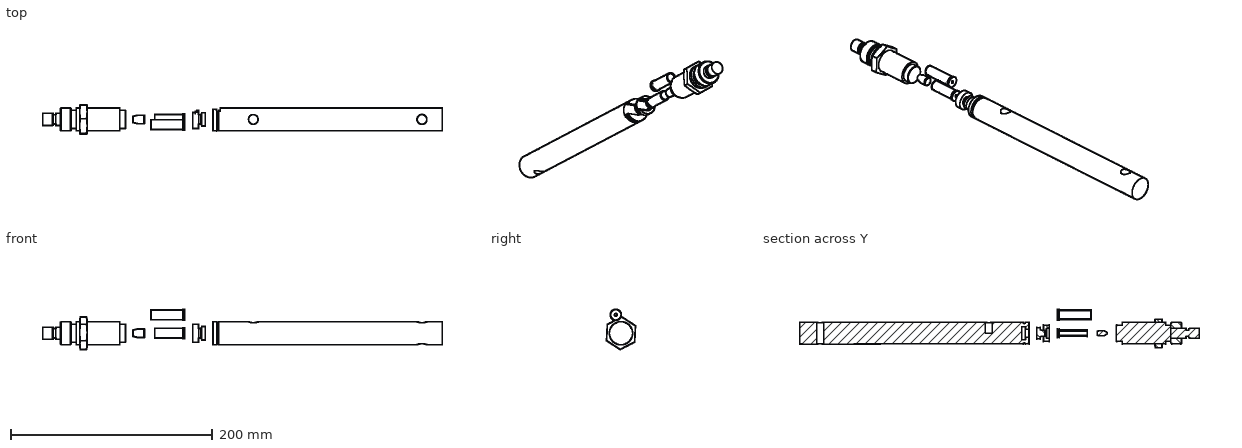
import cadquery as cq
import math


def turned(profile):
    """Solid of revolution about X from (x, radius) points; both ends close on the axis."""
    start, end = profile[0][0], profile[-1][0]
    points = [(start, 0), *profile, (end, 0)]
    return cq.Workplane("XZ").polyline(points).close().revolve(360, (0, 0, 0), (1, 0, 0))


def cylinder(x_start, x_end, radius):
    """Plain cylinder about the X axis."""
    return cq.Workplane("YZ", origin=(x_start, 0, 0)).circle(radius).extrude(x_end - x_start)


def side_slot(x_start, x_end, half_width):
    """Cutter for a U-slot open toward +Y, its round end centred on the X axis."""
    reach = 2 * BODY_R
    straight = (
        cq.Workplane("YZ", origin=(x_start, 0, 0))
        .center(reach / 2, 0)
        .rect(reach, 2 * half_width)
        .extrude(x_end - x_start)
    )
    return straight.union(cylinder(x_start, x_end, half_width))


BODY_R = 11.5
SHOULDER_R = 9.0
TOTAL_LENGTH = 397.5

ROD_R = 12.5 / 2
ROD_GROOVE_R = 4.8
ROD_GROOVE_START = 10.7
ROD_GROOVE_END = 13.0
ROD_CHAMFER = 1.0
ROD_CHAMFER_DEPTH = 0.5

COLLAR_START = 17.5
COLLAR_END = 28.5
COLLAR_CHAMFER = 1.0
COLLAR_FRONT_CHAMFER = 0.8

BARREL_SHOULDER = 33.5
BARREL_STEP = 76.5
BARREL_END = 82.5
BARREL_CHAMFER = 0.5

NUT_START = 37.0
NUT_WIDTH = 7.0
NUT_CORNER_R = 16.3
NUT_TURN = 3
NUT_CHAMFER_ANGLE = 15

PLUG_START = 90.0
PLUG_CONE_END = 94.5
PLUG_END = 101.7
PLUG_TIP_R = 3.0
PLUG_R = 4.5
PLUG_CHAMFER = 1.0
PLUG_CHAMFER_DEPTH = 0.5

SLEEVE_END = 141.0
SLEEVE_R = 10.0 / 2
SLEEVE_BORE_R = 4.0
SLEEVE_HOLE_R = 1.0
FLANGE_R = 5.5
FLANGE_WIDTH = 2.0
SLEEVE_PLACES = [(111.3, 0, 0), (107.5, -5.0, 18.3)]

STOPPER_START = 149.0
STOPPER_HEAD_END = 155.0
STOPPER_FOOT_START = 158.0
STOPPER_END = 161.7
STOPPER_NECK_R = 4.8
STOPPER_FOOT_R = 6.8
NECK_TAPER_LENGTH = 1.0
NECK_TAPER_R = 5.5
SEAT_STEPS = [(2.8, 6.0), (4.5, 4.5)]

TUBE_START = 169.3
LIP_WIDTH = 3.5
FOOT_SLOT_WIDTH = 3.5
SLOT_CLEARANCE = 0.5
V_GROOVE_WIDTH = 2.5
V_GROOVE_DEPTH = 1.0
HOLE_R = 4.8
BLIND_HOLE_X = 209.5
THROUGH_HOLE_X = 377.0


def make_rod():
    return turned([
        (0, ROD_R),
        (ROD_GROOVE_START - ROD_CHAMFER, ROD_R),
        (ROD_GROOVE_START, ROD_R - ROD_CHAMFER_DEPTH),
        (ROD_GROOVE_START, ROD_GROOVE_R),
        (ROD_GROOVE_END, ROD_GROOVE_R),
        (ROD_GROOVE_END, ROD_R),
        (COLLAR_END, ROD_R),
    ])


def make_collar():
    outside = turned([
        (COLLAR_START, BODY_R - COLLAR_FRONT_CHAMFER),
        (COLLAR_START + COLLAR_FRONT_CHAMFER, BODY_R),
        (COLLAR_END - COLLAR_CHAMFER, BODY_R),
        (COLLAR_END, BODY_R - COLLAR_CHAMFER),
    ])
    return outside.cut(cylinder(COLLAR_START, COLLAR_END, ROD_R))


def make_barrel():
    return turned([
        (COLLAR_END, SHOULDER_R),
        (BARREL_SHOULDER, SHOULDER_R),
        (BARREL_SHOULDER, BODY_R),
        (BARREL_STEP, BODY_R),
        (BARREL_STEP, SHOULDER_R),
        (BARREL_END - BARREL_CHAMFER, SHOULDER_R),
        (BARREL_END, SHOULDER_R - BARREL_CHAMFER),
    ])


def make_nut():
    nut_end = NUT_START + NUT_WIDTH
    face_r = NUT_CORNER_R * math.sqrt(3) / 2
    chamfer = (NUT_CORNER_R - face_r) * math.tan(math.radians(NUT_CHAMFER_ANGLE))
    hexagon = (
        cq.Workplane("YZ", origin=(NUT_START, 0, 0))
        .polygon(6, 2 * NUT_CORNER_R)
        .extrude(NUT_WIDTH)
        .rotate((0, 0, 0), (1, 0, 0), 90 - NUT_TURN)
    )
    chamfers = turned([
        (NUT_START, face_r),
        (NUT_START + chamfer, NUT_CORNER_R),
        (nut_end - chamfer, NUT_CORNER_R),
        (nut_end, face_r),
    ])
    return hexagon.intersect(chamfers).cut(cylinder(NUT_START, nut_end, BODY_R))


def make_plug():
    return turned([
        (PLUG_START, PLUG_TIP_R),
        (PLUG_CONE_END, PLUG_R),
        (PLUG_END - PLUG_CHAMFER, PLUG_R),
        (PLUG_END, PLUG_R - PLUG_CHAMFER_DEPTH),
    ])


def make_sleeve(x_start, y, z):
    flange_start = SLEEVE_END - FLANGE_WIDTH
    outside = turned([
        (x_start, SLEEVE_R),
        (flange_start, SLEEVE_R),
        (flange_start, FLANGE_R),
        (SLEEVE_END, FLANGE_R),
    ])
    bore = cylinder(x_start, flange_start, SLEEVE_BORE_R)
    hole = cylinder(x_start, SLEEVE_END, SLEEVE_HOLE_R)
    return outside.cut(bore).cut(hole).translate((0, y, z))


def make_stopper():
    body = turned([
        (STOPPER_START, SHOULDER_R),
        (STOPPER_HEAD_END, SHOULDER_R),
        (STOPPER_HEAD_END, STOPPER_NECK_R),
        (STOPPER_FOOT_START - NECK_TAPER_LENGTH, STOPPER_NECK_R),
        (STOPPER_FOOT_START, NECK_TAPER_R),
        (STOPPER_FOOT_START, STOPPER_FOOT_R),
        (STOPPER_END, STOPPER_FOOT_R),
    ])
    for depth, half_width in SEAT_STEPS:
        body = body.cut(side_slot(STOPPER_START, STOPPER_START + depth, half_width))
    return body


def make_tube():
    lip_end = TUBE_START + LIP_WIDTH
    tube = turned([
        (TUBE_START, BODY_R),
        (lip_end, BODY_R),
        (lip_end + V_GROOVE_WIDTH / 2, BODY_R - V_GROOVE_DEPTH),
        (lip_end + V_GROOVE_WIDTH, BODY_R),
        (TOTAL_LENGTH, BODY_R),
    ])
    neck_slot = side_slot(TUBE_START, lip_end, STOPPER_NECK_R + SLOT_CLEARANCE)
    foot_slot = side_slot(lip_end, lip_end + FOOT_SLOT_WIDTH, STOPPER_FOOT_R + SLOT_CLEARANCE)
    blind_hole = cq.Workplane("XY").center(BLIND_HOLE_X, 0).circle(HOLE_R).extrude(BODY_R)
    through_hole = cq.Workplane("XY").center(THROUGH_HOLE_X, 0).circle(HOLE_R).extrude(BODY_R, both=True)
    for cutter in (neck_slot, foot_slot, blind_hole, through_hole):
        tube = tube.cut(cutter)
    return tube


rod = make_rod()
collar = make_collar()
barrel = make_barrel()
nut = make_nut()
plug = make_plug()
sleeves = [make_sleeve(*place) for place in SLEEVE_PLACES]
stopper = make_stopper()
tube = make_tube()

bodies = [rod, collar, barrel, nut, plug, *sleeves, stopper, tube]
result = cq.Compound.makeCompound([body.solids().val() for body in bodies])